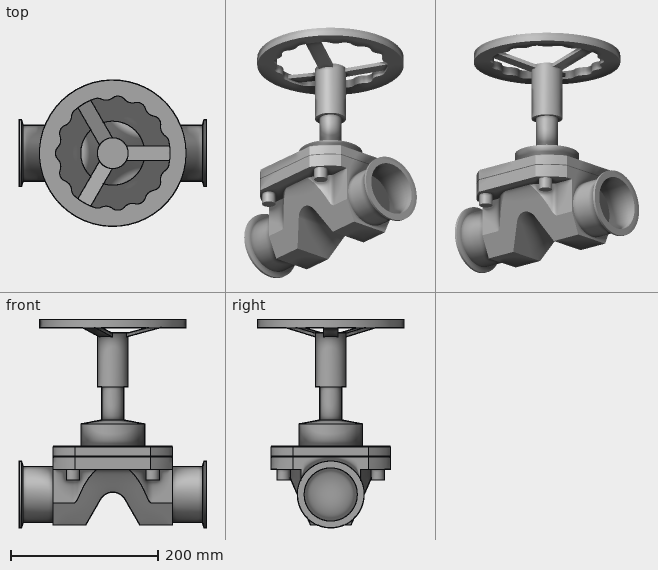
import cadquery as cq
import math


overall_length = 254.0
pipe_diameter = 76.5
bore_diameter = 72.2
ferrule_diameter = 91.0
ferrule_rim_thickness = 3.0
ferrule_thickness = 5.5

overall_height = 283.0
wheel_top = overall_height - ferrule_diameter / 2

plate_width = 162.5
plate_corner_diameter = 192.0
plate_bottom = wheel_top - 203.5
plate_top = wheel_top - 172.0
plate_bevel = 1.0
plate_joint = wheel_top - 186.8

body_bottom = wheel_top - 279.5
body_neck_width = 80.7
body_boss_radius = 64.0
body_fillet = 10.0
body_bottom_width = 55.0
body_top_width = 120.3
arch_half_angle = math.radians(30)
arch_width = 73.5
arch_top = wheel_top - 234.7

bolt_diameter = 18.0
bolt_length = 14.7
bolt_spacing_x = 108.1
bolt_spacing_y = 128.0

bonnet_diameter = 87.0
bonnet_edge = wheel_top - 141.8
bonnet_top = wheel_top - 136.5
stem_diameter = 30.0

hub_diameter = 42.0
hub_bottom = wheel_top - 91.5
hub_top = wheel_top - 17.8
wheel_diameter = 199.0
wheel_thickness = 11.3
grip_count = 15
grip_outer_radius = 77.9
grip_inner_radius = 72.5
spoke_count = 3
spoke_width = 20.0
spoke_thickness = 4.8
spoke_drop = 0.3
spoke_slope = math.radians(15)
spoke_end_radius = 80.7


def polar(radius, degrees):
    angle = math.radians(degrees)
    return radius * math.cos(angle), radius * math.sin(angle)


def cylinder(diameter, bottom, top):
    return cq.Workplane("XY").workplane(offset=bottom).circle(diameter / 2).extrude(top - bottom)


def make_plate(bottom, top):
    """Square plate whose corners are turned down to a circle about Z."""
    square = cq.Workplane("XY").workplane(offset=bottom).rect(plate_width, plate_width).extrude(top - bottom)
    return square.intersect(cylinder(plate_corner_diameter, bottom, top))


def make_plates():
    """Body flange and, on top of it, the bonnet plate with both edges bevelled."""
    body_flange = make_plate(plate_bottom, plate_joint)
    bonnet_plate = make_plate(plate_joint, plate_top).faces("|Z").edges().chamfer(plate_bevel)
    return body_flange.union(bonnet_plate)


def make_body_plan():
    """Round boss blended into a narrow neck, as a vertical prism."""
    half_length = plate_width / 2
    half_neck = body_neck_width / 2
    fillet_y = half_neck + body_fillet
    center_distance = body_boss_radius + body_fillet
    fillet_x = math.sqrt(center_distance**2 - fillet_y**2)
    boss_share = body_boss_radius / center_distance
    tangent_x = fillet_x * boss_share
    tangent_y = fillet_y * boss_share
    middle_angle = (math.atan2(-fillet_y, -fillet_x) - math.pi / 2) / 2
    middle_x = fillet_x + body_fillet * math.cos(middle_angle)
    middle_y = fillet_y + body_fillet * math.sin(middle_angle)
    return (
        cq.Workplane("XY")
        .workplane(offset=body_bottom)
        .moveTo(half_length, half_neck)
        .lineTo(fillet_x, half_neck)
        .threePointArc((middle_x, middle_y), (tangent_x, tangent_y))
        .threePointArc((0, body_boss_radius), (-tangent_x, tangent_y))
        .threePointArc((-middle_x, middle_y), (-fillet_x, half_neck))
        .lineTo(-half_length, half_neck)
        .lineTo(-half_length, -half_neck)
        .lineTo(-fillet_x, -half_neck)
        .threePointArc((-middle_x, -middle_y), (-tangent_x, -tangent_y))
        .threePointArc((0, -body_boss_radius), (tangent_x, -tangent_y))
        .threePointArc((middle_x, -middle_y), (fillet_x, -half_neck))
        .lineTo(half_length, -half_neck)
        .close()
        .extrude(plate_bottom - body_bottom)
    )


def make_taper():
    """Prism along X whose sides lean inward towards the bottom."""
    return (
        cq.Workplane("YZ")
        .moveTo(-body_bottom_width / 2, body_bottom)
        .lineTo(body_bottom_width / 2, body_bottom)
        .lineTo(body_top_width / 2, plate_bottom)
        .lineTo(-body_top_width / 2, plate_bottom)
        .close()
        .extrude(plate_width / 2, both=True)
    )


def make_arch():
    """Rounded wedge along Y that hollows the underside below the weir."""
    half_width = arch_width / 2
    apex = body_bottom + half_width / math.tan(arch_half_angle)
    apex_drop = apex - arch_top
    apex_to_center = apex_drop / (1 - math.sin(arch_half_angle))
    radius = apex_to_center * math.sin(arch_half_angle)
    tangent_x = radius * math.cos(arch_half_angle)
    tangent_z = apex - apex_to_center + radius * math.sin(arch_half_angle)
    return (
        cq.Workplane("XZ")
        .moveTo(-half_width, body_bottom)
        .lineTo(-tangent_x, tangent_z)
        .threePointArc((0, arch_top), (tangent_x, tangent_z))
        .lineTo(half_width, body_bottom)
        .close()
        .extrude(plate_width / 2, both=True)
    )


def make_pipe_end():
    """Hollow pipe stub with its ferrule, on the +X side."""
    inner_x = plate_width / 2
    outer_x = overall_length / 2
    return (
        cq.Workplane("XY")
        .moveTo(inner_x, bore_diameter / 2)
        .lineTo(outer_x, bore_diameter / 2)
        .lineTo(outer_x, ferrule_diameter / 2)
        .lineTo(outer_x - ferrule_rim_thickness, ferrule_diameter / 2)
        .lineTo(outer_x - ferrule_thickness, pipe_diameter / 2)
        .lineTo(inner_x, pipe_diameter / 2)
        .close()
        .revolve(360, (0, 0, 0), (1, 0, 0))
    )


def make_bolts():
    return (
        cq.Workplane("XY")
        .workplane(offset=plate_bottom)
        .rect(bolt_spacing_x, bolt_spacing_y, forConstruction=True)
        .vertices()
        .circle(bolt_diameter / 2)
        .extrude(-bolt_length)
    )


def make_bonnet():
    """Bonnet with a conical top, stem and handwheel hub, turned about Z."""
    return (
        cq.Workplane("XZ")
        .moveTo(0, plate_top)
        .lineTo(bonnet_diameter / 2, plate_top)
        .lineTo(bonnet_diameter / 2, bonnet_edge)
        .lineTo(stem_diameter / 2, bonnet_top)
        .lineTo(stem_diameter / 2, hub_bottom)
        .lineTo(hub_diameter / 2, hub_bottom)
        .lineTo(hub_diameter / 2, hub_top)
        .lineTo(0, hub_top)
        .close()
        .revolve(360, (0, 0, 0), (0, 1, 0))
    )


def make_rim():
    """Flat rim whose inner edge is scalloped, except where the spokes meet it."""
    rim_bottom = wheel_top - wheel_thickness
    pitch = 360 / grip_count
    middle_radius = (grip_outer_radius + grip_inner_radius) / 2
    opening = cq.Workplane("XY").workplane(offset=rim_bottom).moveTo(*polar(middle_radius, -pitch / 4))
    for grip in range(grip_count):
        angle = grip * pitch
        ridge = polar(grip_inner_radius, angle)
        ridge_end = polar(middle_radius, angle + pitch / 4)
        hollow = polar(grip_outer_radius, angle + pitch / 2)
        hollow_end = polar(middle_radius, angle + pitch * 3 / 4)
        opening = opening.threePointArc(ridge, ridge_end).threePointArc(hollow, hollow_end)
    rim = cylinder(wheel_diameter, rim_bottom, wheel_top).cut(opening.close().extrude(wheel_thickness))
    for spoke in range(spoke_count):
        angle = spoke * 360 / spoke_count
        spoke_seat = (
            cq.Workplane("XY")
            .workplane(offset=rim_bottom)
            .lineTo(*polar(grip_outer_radius, angle - pitch / 2))
            .threePointArc(polar(grip_outer_radius, angle), polar(grip_outer_radius, angle + pitch / 2))
            .close()
            .extrude(wheel_thickness)
        )
        rim = rim.cut(spoke_seat)
    return rim


def make_spoke():
    """Sloping flat bar from the hub to the rim, along +X."""
    rise = math.tan(spoke_slope)
    start_z = hub_top - spoke_drop - hub_diameter / 2 * rise
    end_z = start_z + spoke_end_radius * rise
    depth = spoke_thickness / math.cos(spoke_slope)
    return (
        cq.Workplane("XZ")
        .moveTo(0, start_z)
        .lineTo(spoke_end_radius, end_z)
        .lineTo(spoke_end_radius, end_z - depth)
        .lineTo(0, start_z - depth)
        .close()
        .extrude(spoke_width / 2, both=True)
    )


body = make_body_plan().intersect(make_taper()).cut(make_arch())
pipe_end = make_pipe_end()

result = make_plates().union(body).union(make_bolts()).union(make_bonnet()).union(make_rim())
result = result.union(pipe_end).union(pipe_end.mirror("YZ"))
for spoke in range(spoke_count):
    result = result.union(make_spoke().rotate((0, 0, 0), (0, 0, 1), spoke * 360 / spoke_count))